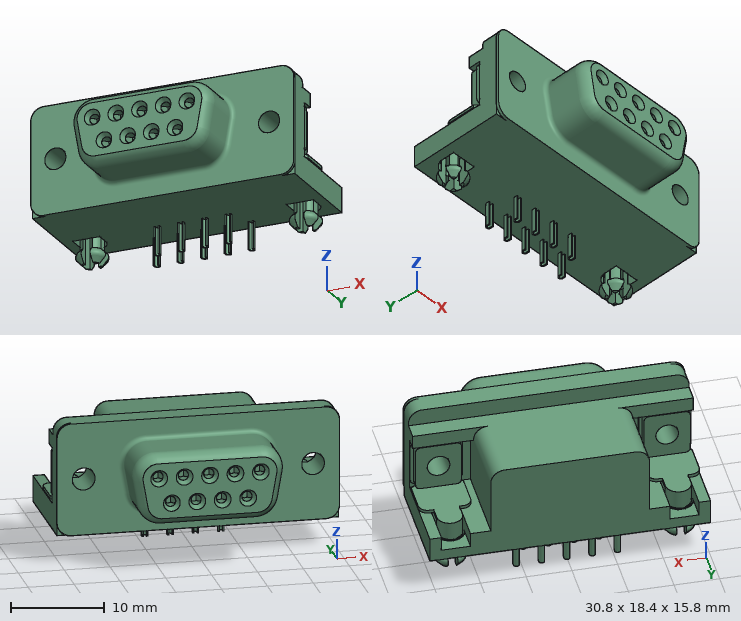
import cadquery as cq
import math


FLANGE_WIDTH = 30.8
FLANGE_HEIGHT = 12.55
FLANGE_CORNER = 1.5
PLATE_THICKNESS = 0.37
FLANGE_BACK = 2.43
BODY_WIDTH = 30.72

BODY_BACK = 12.5
BODY_TOP = 10.7
FRONT_BLOCK_BACK = 4.4
CORE_WIDTH = 17.38
CORE_CORNER = 1.5
ARM_HEIGHT = 2.9
POCKET_FRONT = 2.9
POCKET_TOP = 9.1

SHELL_MID_Z = 6.3
SHELL_LENGTH = 5.85
SHELL_HEIGHT = 7.9
SHELL_MEAN_WIDTH = 15.87
SHELL_SIDE_ANGLE = 10.0
SHELL_CORNER = 2.45
SHELL_NOSE_RADIUS = 1.6
SHELL_NOSE_LENGTH = 1.42
SHELL_FLARE_RADIUS = 0.52

CONTACT_PITCH = 2.77
CONTACT_ROW_GAP = 2.83
CONTACT_COUNTS = {1: 5, -1: 4}
CONTACT_MOUTH_DIAMETER = 1.82
CONTACT_DIAMETER = 1.1
CONTACT_CONE_DEPTH = 0.62
CONTACT_TAPER_DEPTH = 1.23
CONTACT_FLOOR_WIDTH = 0.52
PIN_WIDTH = 0.65
PIN_DEPTH = 0.68
PIN_WALL = 0.15
PIN_LENGTH = 3.2
PIN_MID_Y = 9.52

LOCK_X = 12.5
LOCK_Y = PIN_MID_Y
SCREW_HOLE_DIAMETER = 2.45
BRACKET_WIDTH = 5.73
BRACKET_THICKNESS = 0.37
BRACKET_TOP = 3.42
BRACKET_BACK = 8.1
BRACKET_CORNER = 1.02
NUT_WIDTH = 5.05
NUT_HEIGHT = 5.35
NUT_BACK = 4.35
NUT_CORNER = 0.52
NUT_PLATE_BACK = 3.3
FOOT_FRONT = 3.45
FOOT_FRONT_CHAMFER = 0.3
BEND_INNER_RADIUS = 0.12
PEG_DIAMETER = 2.8
PRONG_DIAMETER = 2.6
PEG_GAP_X = 1.05
PEG_GAP_Y_INNER = 0.83
PEG_GAP_Y_OUTER = 1.17
PEG_GAP_TOP = 1.23
BULB_TOP = -0.9
BULB_SHOULDER = -1.2
BULB_MIDDLE = -1.6
BULB_LOWER = -2.0
BULB_BOTTOM = -2.53
BULB_RADIUS = 1.8
BULB_EDGE_RADIUS = 1.6
BULB_BOTTOM_RADIUS = 1.15

ARM_SLOT_WIDTH = 3.17
ARM_STEP_HEIGHT = 1.23


def box(x_min, x_max, y_min, y_max, z_min, z_max):
    """Box between the given limits."""
    size = (x_max - x_min, y_max - y_min, z_max - z_min)
    return cq.Workplane("XY").box(*size, centered=False).translate((x_min, y_min, z_min))


def centered_box(center_x, width, y_min, y_max, z_min, z_max):
    """Box centred on center_x."""
    return box(center_x - width / 2, center_x + width / 2, y_min, y_max, z_min, z_max)


def make_body():
    plate = centered_box(0, FLANGE_WIDTH, 0, PLATE_THICKNESS, 0, FLANGE_HEIGHT)
    plate = plate.edges("|Y").fillet(FLANGE_CORNER)
    flange = centered_box(0, BODY_WIDTH, PLATE_THICKNESS, FLANGE_BACK, 0, FLANGE_HEIGHT)
    flange = flange.edges("|Y and >Z").fillet(FLANGE_CORNER)
    front_block = centered_box(0, BODY_WIDTH, FLANGE_BACK, FRONT_BLOCK_BACK, 0, BODY_TOP)
    core = centered_box(0, CORE_WIDTH, FLANGE_BACK, BODY_BACK, 0, BODY_TOP)
    core = core.edges("|Y and >Z").fillet(CORE_CORNER)
    arms = centered_box(0, BODY_WIDTH, FLANGE_BACK, BODY_BACK, 0, ARM_HEIGHT)
    body = plate.union(flange).union(front_block)
    pockets = centered_box(0, BODY_WIDTH, POCKET_FRONT, FRONT_BLOCK_BACK, ARM_HEIGHT, POCKET_TOP)
    return body.cut(pockets).union(core).union(arms)


def make_shell():
    slope = math.tan(math.radians(SHELL_SIDE_ANGLE))
    half_top = SHELL_MEAN_WIDTH / 2 + slope * SHELL_HEIGHT / 2
    half_bottom = SHELL_MEAN_WIDTH / 2 - slope * SHELL_HEIGHT / 2
    top = SHELL_MID_Z + SHELL_HEIGHT / 2
    bottom = SHELL_MID_Z - SHELL_HEIGHT / 2
    outline = [(-half_bottom, bottom), (half_bottom, bottom), (half_top, top), (-half_top, top)]
    full_length = SHELL_LENGTH - SHELL_NOSE_LENGTH + SHELL_NOSE_RADIUS
    shell = cq.Workplane("XZ").polyline(outline).close().extrude(full_length)
    shell = shell.edges("|Y").fillet(SHELL_CORNER)
    shell = shell.faces("<Y").edges().fillet(SHELL_NOSE_RADIUS)
    return shell.cut(centered_box(0, FLANGE_WIDTH, -full_length, -SHELL_LENGTH, 0, FLANGE_HEIGHT))


def row_positions(count):
    """X positions of a row of contacts centred on X = 0."""
    return [(i - (count - 1) / 2) * CONTACT_PITCH for i in range(count)]


def make_contact_hole(x, z):
    """Conical mouth leading to a round hole whose sides taper to a narrow floor."""
    cone = (
        cq.Workplane("XZ", origin=(x, -SHELL_LENGTH, z))
        .circle(CONTACT_MOUTH_DIAMETER / 2)
        .workplane(offset=-CONTACT_CONE_DEPTH)
        .circle(CONTACT_DIAMETER / 2)
        .loft()
    )
    taper_start = CONTACT_CONE_DEPTH - SHELL_LENGTH
    taper_end = taper_start + CONTACT_TAPER_DEPTH
    bore = (
        cq.Workplane("XZ", origin=(x, taper_start, z))
        .circle(CONTACT_DIAMETER / 2)
        .extrude(-CONTACT_TAPER_DEPTH)
    )
    half_mouth = CONTACT_DIAMETER / 2
    half_floor = CONTACT_FLOOR_WIDTH / 2
    wedge = (
        cq.Workplane("XY", origin=(x, 0, z))
        .polyline([
            (-half_mouth, taper_start),
            (half_mouth, taper_start),
            (half_floor, taper_end),
            (-half_floor, taper_end),
        ])
        .close()
        .extrude(CONTACT_DIAMETER / 2, both=True)
    )
    return cone.union(bore.intersect(wedge))


def make_pin(x, y):
    """Solder pin of U-shaped section, with its round back to the rear and its channel open to the front."""
    radius = PIN_WIDTH / 2
    bend_y = PIN_DEPTH / 2 - radius
    front_y = -PIN_DEPTH / 2
    inner = radius - PIN_WALL
    return (
        cq.Workplane("XY", origin=(x, y, -PIN_LENGTH))
        .moveTo(radius, front_y)
        .lineTo(radius, bend_y)
        .threePointArc((0, bend_y + radius), (-radius, bend_y))
        .lineTo(-radius, front_y)
        .lineTo(-inner, front_y)
        .lineTo(-inner, bend_y)
        .threePointArc((0, bend_y + inner), (inner, bend_y))
        .lineTo(inner, front_y)
        .close()
        .extrude(PIN_LENGTH)
    )


def make_arm_slot(x):
    """Through slot with a round rear end, and the step from it to the rear face."""
    radius = ARM_SLOT_WIDTH / 2
    slot = centered_box(x, ARM_SLOT_WIDTH, LOCK_Y - radius, LOCK_Y, 0, ARM_HEIGHT)
    slot = slot.union(cq.Workplane("XY", origin=(x, LOCK_Y, 0)).circle(radius).extrude(ARM_HEIGHT))
    step = centered_box(x, ARM_SLOT_WIDTH, LOCK_Y, BODY_BACK, ARM_STEP_HEIGHT, ARM_HEIGHT)
    return slot.union(step)


def rounded_block(x, width, height, y_max):
    """Block around the screw hole, rounded along its Y edges, from the pocket floor to y_max."""
    block = centered_box(
        x, width, POCKET_FRONT, y_max, SHELL_MID_Z - height / 2, SHELL_MID_Z + height / 2
    )
    return block.edges("|Y").fillet(NUT_CORNER)


def make_bracket(x):
    """Sheet-metal angle: foot with a tongue over the arm slot, plate in the pocket, screw block."""
    foot_bottom = BRACKET_TOP - BRACKET_THICKNESS
    foot = centered_box(x, BRACKET_WIDTH, FOOT_FRONT, BRACKET_BACK, foot_bottom, BRACKET_TOP)
    foot = foot.edges("|Z and >Y").fillet(BRACKET_CORNER)
    foot = foot.edges("|Z and <Y").chamfer(FOOT_FRONT_CHAMFER)
    tongue = centered_box(x, PEG_DIAMETER, NUT_PLATE_BACK, LOCK_Y, foot_bottom, BRACKET_TOP)
    inner_y = NUT_PLATE_BACK + BEND_INNER_RADIUS
    inner_z = BRACKET_TOP + BEND_INNER_RADIUS
    bend = centered_box(x, PEG_DIAMETER, POCKET_FRONT, NUT_PLATE_BACK, foot_bottom, SHELL_MID_Z)
    bend = bend.union(centered_box(x, PEG_DIAMETER, NUT_PLATE_BACK, inner_y, foot_bottom, inner_z))
    bend = bend.cut(
        cq.Workplane("YZ", origin=(x, inner_y, inner_z))
        .circle(BEND_INNER_RADIUS)
        .extrude(PEG_DIAMETER / 2, both=True)
    )
    plate = rounded_block(x, BRACKET_WIDTH, NUT_HEIGHT, NUT_PLATE_BACK)
    nut = rounded_block(x, NUT_WIDTH, NUT_HEIGHT, NUT_BACK)
    return foot.union(tongue).union(bend).union(plate).union(nut)


def make_peg(x):
    """Round peg with a bulbous tip, split crosswise into four prongs."""
    prong_radius = PRONG_DIAMETER / 2
    prongs = (
        cq.Workplane("XZ")
        .moveTo(0, PEG_GAP_TOP)
        .lineTo(prong_radius, PEG_GAP_TOP)
        .lineTo(prong_radius, BULB_TOP)
        .lineTo(BULB_EDGE_RADIUS, BULB_SHOULDER)
        .threePointArc((BULB_RADIUS, BULB_MIDDLE), (BULB_EDGE_RADIUS, BULB_LOWER))
        .lineTo(BULB_BOTTOM_RADIUS, BULB_BOTTOM)
        .lineTo(0, BULB_BOTTOM)
        .close()
        .revolve(360, (0, 0), (0, 1))
    )
    prongs = prongs.cut(
        centered_box(0, PEG_GAP_X, -BULB_RADIUS, BULB_RADIUS, BULB_BOTTOM, PEG_GAP_TOP)
    )
    outward = math.copysign(BULB_RADIUS / 2, x)
    for gap_x, gap in ((-outward, PEG_GAP_Y_INNER), (outward, PEG_GAP_Y_OUTER)):
        prongs = prongs.cut(
            centered_box(gap_x, BULB_RADIUS, -gap / 2, gap / 2, BULB_BOTTOM, PEG_GAP_TOP)
        )
    head = (
        cq.Workplane("XY", origin=(0, 0, PEG_GAP_TOP))
        .circle(PEG_DIAMETER / 2)
        .extrude(BRACKET_TOP - PEG_GAP_TOP)
    )
    return head.union(prongs).translate((x, LOCK_Y, 0))


result = make_body().union(make_shell())
search_half_width = SHELL_MEAN_WIDTH / 2 + SHELL_CORNER
search_half_depth = PLATE_THICKNESS / 2
search_half_height = SHELL_HEIGHT / 2 + SHELL_FLARE_RADIUS
shell_root = cq.selectors.BoxSelector(
    (-search_half_width, -search_half_depth, SHELL_MID_Z - search_half_height),
    (search_half_width, search_half_depth, SHELL_MID_Z + search_half_height),
)
result = result.edges(shell_root).fillet(SHELL_FLARE_RADIUS)

for lock_x in (-LOCK_X, LOCK_X):
    result = result.cut(make_arm_slot(lock_x)).union(make_bracket(lock_x)).union(make_peg(lock_x))
    screw_hole = (
        cq.Workplane("XZ", origin=(lock_x, 0, SHELL_MID_Z))
        .circle(SCREW_HOLE_DIAMETER / 2)
        .extrude(-FRONT_BLOCK_BACK)
    )
    result = result.cut(screw_hole)

for row, count in CONTACT_COUNTS.items():
    row_offset = row * CONTACT_ROW_GAP / 2
    for contact_x in row_positions(count):
        result = result.cut(make_contact_hole(contact_x, SHELL_MID_Z + row_offset))
        result = result.union(make_pin(contact_x, PIN_MID_Y + row_offset))